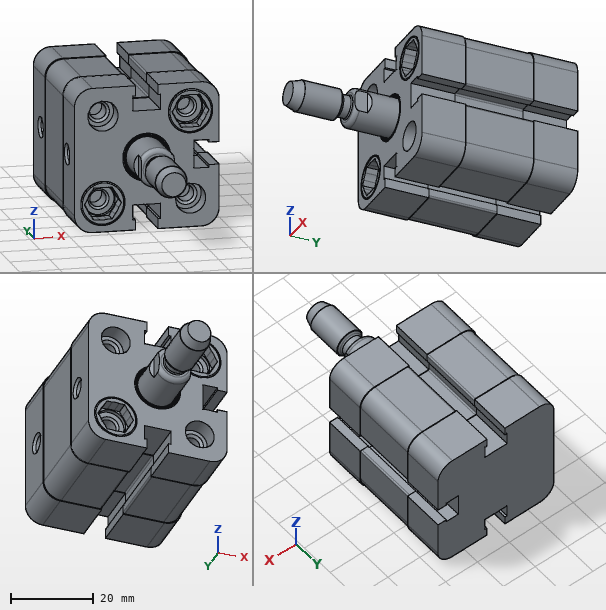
import cadquery as cq
import math


CAP_WIDTH = 36.3
CAP_LENGTH = 11.8
CORNER_RADIUS = 4.5
BARREL_INSET = 0.2
BARREL_WIDTH = CAP_WIDTH - 2 * BARREL_INSET
HOUSING_LENGTH = 42.05
REAR_CAP_START = HOUSING_LENGTH - CAP_LENGTH

SLOT_OPENING = 5.65
SLOT_WIDTH = 6.95
SLOT_LIP_DEPTH = 2.6
SLOT_DEPTH = 6.3
SLOT_FLOOR = CAP_WIDTH / 2 - SLOT_DEPTH
BARREL_FLOOR_RAISE = 0.2
BARREL_SLOT_FILLET = 0.4
LIP_ROUNDING = 0.4
UP = 0
DOWN = 180
RIGHT = 90
SLOT_ANGLES = (UP, DOWN, RIGHT)

FIXING_OFFSET = 11.0
PLAIN_BORE_DIAMETER = 7.5
PLAIN_BORE_DEPTH = 4.6
THREAD_CORE_DIAMETER = 4.1
THREAD_DEPTH = 9.75
THREAD_COUNTERSINK_DIAMETER = 5.4
HEAD_DIAMETER = 11.1
HEAD_GROOVE = 0.35
HEX_ACROSS_FLATS = 8.0
HEX_RELIEF_DIAMETER = 8.2
HEX_DEPTH = 3.5
SOCKET_BORE_DIAMETER = 7.8
SOCKET_BORE_DEPTH = 4.6
SOCKET_COUNTERSINK_DIAMETER = 5.2

PORT_OFFSET = 7.5
PORT_DIAMETER = 4.1
PORT_COUNTERSINK_DIAMETER = 5.35
PORT_FLOOR_DEPTH = 6.95
PASSAGE_HEIGHT = 3.05

ROD_DIAMETER = 10.0
TOTAL_LENGTH = 69.6
ROD_REACH = TOTAL_LENGTH - HOUSING_LENGTH
PISTON_DIAMETER = 20.0
PISTON_START = 4.9
REAR_WALL = 5.85
PISTON_END = HOUSING_LENGTH - REAR_WALL
SHOULDER = 11.55
SHOULDER_FILLET = 1.25
ROD_FLATS = 8.3
FLATS_START = 8.1
NECK_DIAMETER = 5.8
NECK_START = 11.9
NECK_START_DIAMETER = 6.25
NECK_END = 13.85
RUNOUT_START_DIAMETER = 6.5
RUNOUT_START = 14.3
RUNOUT_DIAMETER = 7.45
THREAD_DIAMETER = 8.0
THREAD_START = 14.7
TIP_LENGTH = 2.8
TIP_BASE_DIAMETER = 7.8
TIP_DIAMETER = 6.05

WIPER_OUTER_DIAMETER = 12.0
WIPER_FACE_DIAMETER = 11.4
WIPER_LIP_DIAMETER = 10.9
WIPER_BORE_DIAMETER = 10.5
WIPER_DEPTH = 0.7


def cylinder(diameter, start, end, x=0, z=0):
    """Cylinder along Y from `start` to `end`, centred on (x, z)."""
    solid = cq.Solid.makeCylinder(diameter / 2, end - start, cq.Vector(x, start, z), cq.Vector(0, 1, 0))
    return cq.Workplane(obj=solid)


def cone(start_diameter, end_diameter, start, end, x=0, z=0):
    """Cone along Y whose diameter goes from `start_diameter` to `end_diameter`."""
    solid = cq.Solid.makeCone(
        start_diameter / 2, end_diameter / 2, end - start, cq.Vector(x, start, z), cq.Vector(0, 1, 0)
    )
    return cq.Workplane(obj=solid)


def profile_plane(start):
    """Plane across the Y axis at `start`, with X to the right and Z up; its normal points toward -Y."""
    return cq.Workplane(cq.Plane(origin=(0, start, 0), xDir=(1, 0, 0), normal=(0, -1, 0)))


def block(width, start, length, corner_radius):
    """Square block with rounded long edges."""
    return profile_plane(start).rect(width, width).extrude(-length).edges("|Y").fillet(corner_radius)


def slot(start, length, floor, rounding, fillet):
    """T-slot open at the top, with optionally rounded lips and a fillet along each side of its floor."""
    top = CAP_WIDTH / 2
    mouth = top - BARREL_INSET
    lip = top - SLOT_LIP_DEPTH
    cavity = profile_plane(start).center(0, (floor + lip) / 2).rect(SLOT_WIDTH, lip - floor).extrude(-length)
    if fillet:
        cavity = cavity.faces("<Z").edges("|Y").fillet(fillet)
    throat = profile_plane(start).center(0, (lip + top) / 2).rect(SLOT_OPENING, top - lip).extrude(-length)
    if rounding:
        side = SLOT_OPENING / 2
        flare = (
            profile_plane(start)
            .moveTo(-side, mouth - rounding)
            .lineTo(side, mouth - rounding)
            .radiusArc((side + rounding, mouth), rounding)
            .lineTo(-side - rounding, mouth)
            .radiusArc((-side, mouth - rounding), rounding)
            .close()
            .extrude(-length)
        )
        throat = throat.union(flare)
    return cavity.union(throat)


def turned(cutter, angle):
    """Turn a cutter clockwise about Y, as seen from the front."""
    return cutter.rotate((0, 0, 0), (0, 1, 0), angle)


def edge_groove(outer_diameter, face_diameter, x=0, z=0):
    """Groove in the front face left round an inserted ring or head with a 45 degree chamfer."""
    depth = (outer_diameter - face_diameter) / 2
    hole = cylinder(outer_diameter, 0, depth, x, z)
    return hole.cut(cone(face_diameter, outer_diameter, 0, depth, x, z))


def wiper_recess():
    """Chamfered outer edge of the wiper ring, and its flared lip round the rod."""
    lip_depth = (WIPER_LIP_DIAMETER - WIPER_BORE_DIAMETER) / 2
    recess = edge_groove(WIPER_OUTER_DIAMETER, WIPER_FACE_DIAMETER)
    recess = recess.union(cone(WIPER_LIP_DIAMETER, WIPER_BORE_DIAMETER, 0, lip_depth))
    return recess.union(cylinder(WIPER_BORE_DIAMETER, 0, WIPER_DEPTH))


def plain_fixing(x, z):
    """Counterbore above a countersunk threaded hole."""
    countersink_depth = (THREAD_COUNTERSINK_DIAMETER - THREAD_CORE_DIAMETER) / 2
    floor = PLAIN_BORE_DEPTH
    cutter = cylinder(PLAIN_BORE_DIAMETER, 0, floor, x, z)
    cutter = cutter.union(
        cone(THREAD_COUNTERSINK_DIAMETER, THREAD_CORE_DIAMETER, floor, floor + countersink_depth, x, z)
    )
    return cutter.union(cylinder(THREAD_CORE_DIAMETER, floor, THREAD_DEPTH, x, z))


def socket_fixing(x, z):
    """Chamfered round head with a hexagon socket, a bore and a countersunk threaded hole below it."""
    groove = edge_groove(HEAD_DIAMETER, HEAD_DIAMETER - 2 * HEAD_GROOVE, x, z)
    across_corners = HEX_ACROSS_FLATS / math.cos(math.pi / 6)
    socket = profile_plane(0).center(x, z).polygon(6, across_corners).extrude(-HEX_DEPTH)
    socket = socket.union(cylinder(HEX_RELIEF_DIAMETER, 0, HEX_DEPTH, x, z))
    floor = SOCKET_BORE_DEPTH
    countersink_depth = (SOCKET_COUNTERSINK_DIAMETER - THREAD_CORE_DIAMETER) / 2
    bore = cylinder(SOCKET_BORE_DIAMETER, 0, floor, x, z)
    thread = cone(SOCKET_COUNTERSINK_DIAMETER, THREAD_CORE_DIAMETER, floor, floor + countersink_depth, x, z)
    thread = thread.union(cylinder(THREAD_CORE_DIAMETER, floor, THREAD_DEPTH, x, z))
    return socket.union(bore).union(thread).union(groove)


def port(y, passage_start, passage_end):
    """Countersunk port in the -X side with a narrower passage from its floor to the piston bore."""
    side = -CAP_WIDTH / 2
    countersink_depth = (PORT_COUNTERSINK_DIAMETER - PORT_DIAMETER) / 2
    mouth = cq.Vector(side, y, 0)
    inward = cq.Vector(1, 0, 0)
    hole = cq.Solid.makeCylinder(PORT_DIAMETER / 2, PORT_FLOOR_DEPTH, mouth, inward)
    countersink = cq.Solid.makeCone(
        PORT_COUNTERSINK_DIAMETER / 2, PORT_DIAMETER / 2, countersink_depth, mouth, inward
    )
    passage_length = passage_end - passage_start
    passage = cq.Workplane().box(-side, passage_length, PASSAGE_HEIGHT, centered=(False, False, True))
    passage = passage.translate((side, passage_start, 0))
    reach = cq.Workplane(obj=cq.Solid.makeCylinder(PORT_DIAMETER / 2, -side, mouth, inward))
    return cq.Workplane(obj=hole).union(cq.Workplane(obj=countersink)).union(passage.intersect(reach))


def make_cap(start):
    """Cap with its T-slots."""
    cap = block(CAP_WIDTH, start, CAP_LENGTH, CORNER_RADIUS)
    for angle in SLOT_ANGLES:
        cap = cap.cut(turned(slot(start, CAP_LENGTH, SLOT_FLOOR, 0, 0), angle))
    return cap


def make_front_cap():
    """Cap with corner fixings, an air port, the wiper ring and the start of the piston bore."""
    cap = make_cap(0)
    for sign in (-1, 1):
        cap = cap.cut(plain_fixing(sign * FIXING_OFFSET, -sign * FIXING_OFFSET))
        cap = cap.cut(socket_fixing(sign * FIXING_OFFSET, sign * FIXING_OFFSET))
    cap = cap.cut(port(PORT_OFFSET, PORT_OFFSET - PORT_DIAMETER / 2, PORT_OFFSET + PORT_DIAMETER / 2))
    cap = cap.cut(wiper_recess())
    cap = cap.cut(cylinder(ROD_DIAMETER, 0, PISTON_START))
    return cap.cut(cylinder(PISTON_DIAMETER, PISTON_START, CAP_LENGTH))


def make_barrel():
    """Middle length of the housing, slightly smaller than the caps, with the piston bore through it."""
    length = HOUSING_LENGTH - 2 * CAP_LENGTH
    barrel = block(BARREL_WIDTH, CAP_LENGTH, length, CORNER_RADIUS)
    for angle in SLOT_ANGLES:
        floor = SLOT_FLOOR if angle == RIGHT else SLOT_FLOOR + BARREL_FLOOR_RAISE
        cutter = slot(CAP_LENGTH, length, floor, LIP_ROUNDING, BARREL_SLOT_FILLET)
        barrel = barrel.cut(turned(cutter, angle))
    return barrel.cut(cylinder(PISTON_DIAMETER, CAP_LENGTH, REAR_CAP_START))


def make_rear_cap():
    """Cap with an air port and the blind end of the piston bore."""
    cap = make_cap(REAR_CAP_START)
    y = HOUSING_LENGTH - PORT_OFFSET
    cap = cap.cut(port(y, y - PORT_DIAMETER / 2, PISTON_END))
    return cap.cut(cylinder(PISTON_DIAMETER, REAR_CAP_START, PISTON_END))


def make_rod():
    """Rod and piston with a threaded end, an undercut neck and two wrench flats."""
    body = cylinder(ROD_DIAMETER, -SHOULDER, PISTON_START).faces("<Y").edges().fillet(SHOULDER_FILLET)
    body = body.union(cylinder(PISTON_DIAMETER, PISTON_START, PISTON_END))
    flat_depth = (ROD_DIAMETER - ROD_FLATS) / 2
    for sign in (-1, 1):
        edge = sign * ROD_FLATS / 2
        outer = edge + sign * 2 * flat_depth
        outline = [
            (edge, -SHOULDER),
            (edge, -FLATS_START),
            (outer, 2 * flat_depth - FLATS_START),
            (outer, -SHOULDER),
        ]
        notch = cq.Workplane("XY").polyline(outline).close().extrude(ROD_DIAMETER / 2, both=True)
        body = body.cut(notch)
    tip_start = ROD_REACH - TIP_LENGTH
    stations = [
        (0, SHOULDER),
        (NECK_START_DIAMETER, SHOULDER),
        (NECK_DIAMETER, NECK_START),
        (NECK_DIAMETER, NECK_END),
        (RUNOUT_START_DIAMETER, RUNOUT_START),
        (RUNOUT_DIAMETER, THREAD_START),
        (THREAD_DIAMETER, THREAD_START),
        (THREAD_DIAMETER, tip_start),
        (TIP_BASE_DIAMETER, tip_start),
        (TIP_DIAMETER, ROD_REACH),
        (0, ROD_REACH),
    ]
    outline = [(diameter / 2, -distance) for diameter, distance in stations]
    end = cq.Workplane("XY").polyline(outline).close().revolve(360, (0, 0, 0), (0, 1, 0))
    return body.union(end)


front_cap = make_front_cap()
barrel = make_barrel()
rear_cap = make_rear_cap()
piston_rod = make_rod()

bodies = [front_cap, barrel, rear_cap, piston_rod]
result = cq.Compound.makeCompound([body.solids().val() for body in bodies])